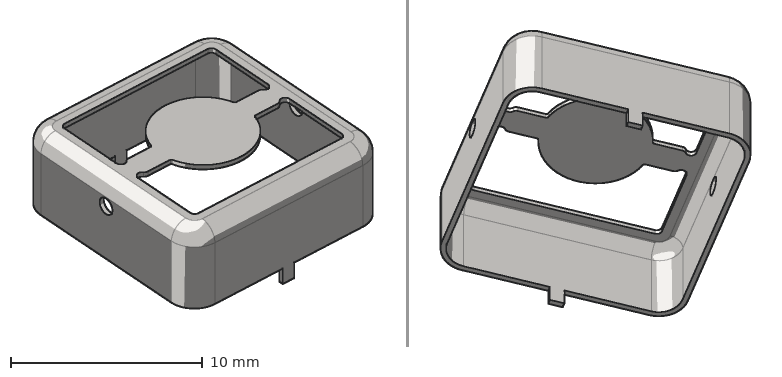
import cadquery as cq
import math

side = 13.5
body_height = 5.0
sheet = 0.3
corner_radius = 1.6
top_round = 1.0

window_half = 5.26
window_corner_radius = 0.3
disc_diameter = 6.0
arm_half_width = 0.77
neck_half_width = 0.55
neck_radius = 0.3
arm_root_fillet = 0.1

vent_diameter = 1.0
vent_depth_below_top = 1.59
tab_width = 0.8
tab_length = 1.0


def rounded_block(width, height, vertical_radius, edge_radius):
    block = cq.Workplane("XY").box(width, width, height, centered=(True, True, False))
    return block.edges("|Z").fillet(vertical_radius).faces(">Z").edges().fillet(edge_radius)


def make_shell():
    outer = rounded_block(side, body_height, corner_radius, top_round)
    cavity = rounded_block(
        side - 2 * sheet, body_height - sheet, corner_radius - sheet, top_round - sheet
    )
    return outer.cut(cavity)


def make_window():
    """Window beside the +X edge of the bridge, extruded through the top sheet."""
    notch_x = neck_half_width + neck_radius
    notch_y = window_half - neck_radius
    blend_x = arm_half_width - neck_radius
    blend_y = notch_y - math.sqrt((2 * neck_radius) ** 2 - (notch_x - blend_x) ** 2)
    tangent_x = (notch_x + blend_x) / 2
    tangent_y = (notch_y + blend_y) / 2
    slope = math.atan2(tangent_y - blend_y, tangent_x - blend_x)
    blend_mid_x = blend_x + neck_radius * math.cos(slope / 2)
    blend_mid_y = blend_y + neck_radius * math.sin(slope / 2)

    disc_radius = disc_diameter / 2
    root_y = math.sqrt(disc_radius**2 - arm_half_width**2)
    floor_z = body_height - 2 * sheet
    window = (
        cq.Workplane("XY", origin=(0, 0, floor_z))
        .moveTo(window_half, window_half)
        .lineTo(notch_x, window_half)
        .threePointArc((neck_half_width, notch_y), (tangent_x, tangent_y))
        .threePointArc((blend_mid_x, blend_mid_y), (arm_half_width, blend_y))
        .lineTo(arm_half_width, root_y)
        .threePointArc((disc_radius, 0), (arm_half_width, -root_y))
        .lineTo(arm_half_width, -blend_y)
        .threePointArc((blend_mid_x, -blend_mid_y), (tangent_x, -tangent_y))
        .threePointArc((neck_half_width, -notch_y), (notch_x, -window_half))
        .lineTo(window_half, -window_half)
        .close()
        .extrude(2 * sheet)
    )
    window = window.edges("|Z and >X").fillet(window_corner_radius)

    arm_roots = cq.selectors.BoxSelector(
        (arm_half_width - sheet, -root_y - sheet, floor_z),
        (arm_half_width + sheet, root_y + sheet, body_height),
    )
    return window.edges("|Z").edges(arm_roots).fillet(arm_root_fillet)


def make_vents():
    vent_z = body_height - vent_depth_below_top
    return (
        cq.Workplane("XZ", origin=(0, 0, vent_z))
        .circle(vent_diameter / 2)
        .extrude(side, both=True)
    )


def make_tab(direction):
    """Solder tab flush with the outer wall, overlapping it by one sheet thickness."""
    tab = cq.Workplane("XY").box(sheet, tab_width, tab_length + sheet)
    return tab.translate((direction * (side - sheet) / 2, 0, (sheet - tab_length) / 2))


window = make_window()
result = make_shell().cut(window).cut(window.mirror("YZ")).cut(make_vents())
for direction in (-1, 1):
    result = result.union(make_tab(direction))